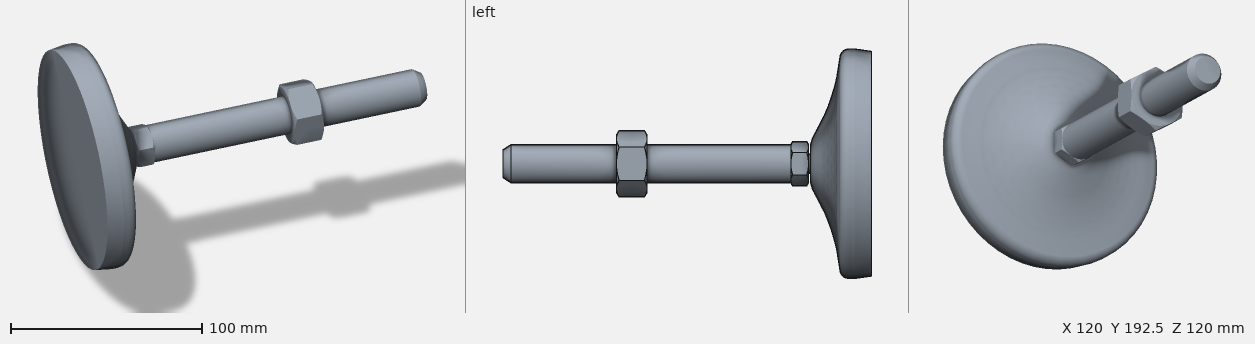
import cadquery as cq
import math

total_length = 192.5

pad_radius = 120.0 / 2
underside_radius = 58.7
taper_height = 8.7
band_height = 11.7
rim_round = 4.8
cone_foot_radius = 55.5
cone_foot_height = band_height + rim_round
flank_middle = (33.7, 21.4)
shoulder_radius = 16.0
shoulder_height = 29.5
crown_radius = 8.7
crown_height = 32.0
crown_middle = (12.5, 31.2)

neck_radius = 10.0 / 2
shaft_diameter = 20.0
shaft_radius = shaft_diameter / 2
tip_radius = 7.3
tip_chamfer_length = 4.2
spindle_hex_start = 33.0
spindle_hex_length = 9.2

nut_start = 117.2
nut_length = 16.0
nut_across_flats = 30.0

corner_chamfer_angle = math.radians(30)


def revolve_about_y(profile):
    """Revolve a closed radius/height profile around the Y axis."""
    return profile.close().revolve(360, (0, 0, 0), (0, 1, 0))


def chamfered_hex(start, length, across_flats):
    """Hexagon along Y with flats facing X and conical chamfers on both ends."""
    flat_radius = across_flats / 2
    corner_radius = flat_radius / math.cos(math.pi / 6)
    chamfer_length = (corner_radius - flat_radius) * math.tan(corner_chamfer_angle)
    end = start + length
    prism = (
        cq.Workplane("XZ", origin=(0, start, 0))
        .polygon(6, 2 * corner_radius)
        .extrude(-length)
        .rotate((0, 0, 0), (0, 1, 0), 30)
    )
    envelope = revolve_about_y(
        cq.Workplane("XY")
        .moveTo(0, start)
        .lineTo(flat_radius, start)
        .lineTo(corner_radius, start + chamfer_length)
        .lineTo(corner_radius, end - chamfer_length)
        .lineTo(flat_radius, end)
        .lineTo(0, end)
    )
    return prism.intersect(envelope)


def make_pad():
    rim_diagonal = rim_round * math.sqrt(0.5)
    rim_middle = (
        pad_radius - rim_round + rim_diagonal,
        band_height + rim_diagonal,
    )
    return revolve_about_y(
        cq.Workplane("XY")
        .lineTo(underside_radius, 0)
        .lineTo(pad_radius, taper_height)
        .lineTo(pad_radius, band_height)
        .threePointArc(rim_middle, (cone_foot_radius, cone_foot_height))
        .threePointArc(flank_middle, (shoulder_radius, shoulder_height))
        .threePointArc(crown_middle, (crown_radius, crown_height))
        .lineTo(0, crown_height)
    )


def make_spindle():
    return revolve_about_y(
        cq.Workplane("XY")
        .moveTo(0, taper_height)
        .lineTo(neck_radius, taper_height)
        .lineTo(neck_radius, spindle_hex_start)
        .lineTo(shaft_radius, spindle_hex_start)
        .lineTo(shaft_radius, total_length - tip_chamfer_length)
        .lineTo(tip_radius, total_length)
        .lineTo(0, total_length)
    )


spindle_hex = chamfered_hex(spindle_hex_start, spindle_hex_length, shaft_diameter)
lock_nut = chamfered_hex(nut_start, nut_length, nut_across_flats)
result = make_pad().union(make_spindle()).union(spindle_hex).union(lock_nut)